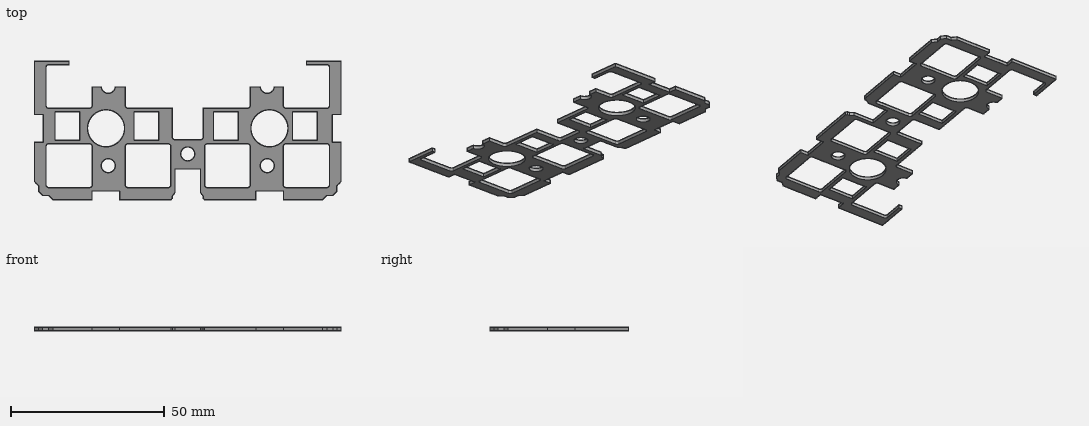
import cadquery as cq

length = 100.0
width = 45.25
thickness = 1.2
half_length = length / 2
half_width = width / 2

top_edge = half_width
bottom_edge = -half_width
rib = 1.2
opening_height = 14.25
opening_bottom = bottom_edge + 4.0
opening_top = opening_bottom + opening_height
window_height = 9.25
window_bottom = opening_top + rib
window_top = window_bottom + window_height
body_top = window_top + rib
tab_top = body_top + 6.9

inner_opening_left = 5.55
inner_opening_right = 20.35
outer_opening_left = 31.2
outer_opening_right = 46.2
body_inner_edge = 5.0
bridge_slot_half_width = 4.1
arm_end = 38.7

notch_length = 9.0
side_notch_depth = 2.85
side_notch_top = 5.15
bottom_notch_right = outer_opening_left
bottom_notch_depth = 2.8

bridge_top = -3.0
bridge_bottom = -12.6

corner_chamfer = 1.35
corner_side_step = 1.85
corner_bottom_step = 1.95

inner_step_rise = 1.3
inner_wall_length = 0.65
inner_chamfer = 0.5

inside_radius = 0.85

screw_diameter = 4.5
screw_x = 25.93
screw_y = -11.5
tab_notch_rise = 0.2
tab_notch_y = tab_top + tab_notch_rise
bridge_hole_y = -7.65
large_diameter = 12.0
large_x = 26.65
large_y = 0.7

window_length = 8.0
window_shift = -0.53
inner_opening_x = (inner_opening_left + inner_opening_right) / 2
outer_opening_x = (outer_opening_left + outer_opening_right) / 2


def box(left, right, bottom, top):
    """Full-thickness block between the given X and Y limits."""
    return (
        cq.Workplane("XY")
        .center((left + right) / 2, (bottom + top) / 2)
        .rect(right - left, top - bottom)
        .extrude(thickness)
    )


def cylinder(x, y, diameter):
    """Full-thickness cylinder centred at x, y."""
    return cq.Workplane("XY").center(x, y).circle(diameter / 2).extrude(thickness)


def rounded_opening(left, right):
    """Cutter for a lower opening with rounded corners."""
    return box(left, right, opening_bottom, opening_top).edges("|Z").fillet(inside_radius)


def right_blank():
    """Right half of the plate, before its openings, edge notches and round holes."""
    step_x = half_length - corner_chamfer
    step_y = bottom_edge + corner_chamfer
    shelf_x = step_x - corner_chamfer
    side_y = step_y + corner_chamfer + corner_side_step
    bottom_x = shelf_x - corner_bottom_step - corner_chamfer
    inner_wall_bottom = bottom_edge + inner_chamfer
    inner_wall_top = inner_wall_bottom + inner_wall_length
    points = [
        (0, bridge_top),
        (body_inner_edge, bridge_top),
        (body_inner_edge, body_top),
        (inner_opening_right, body_top),
        (inner_opening_right, tab_top),
        (outer_opening_left, tab_top),
        (outer_opening_left, body_top),
        (outer_opening_right, body_top),
        (outer_opening_right, top_edge - rib),
        (arm_end, top_edge - rib),
        (arm_end, top_edge),
        (half_length, top_edge),
        (half_length, side_y + corner_chamfer),
        (step_x, side_y),
        (step_x, step_y + corner_chamfer),
        (shelf_x, step_y),
        (shelf_x - corner_bottom_step, step_y),
        (bottom_x, bottom_edge),
        (body_inner_edge + inner_chamfer, bottom_edge),
        (body_inner_edge, inner_wall_bottom),
        (body_inner_edge, inner_wall_top),
        (bridge_slot_half_width, inner_wall_top + inner_step_rise),
        (bridge_slot_half_width, bridge_bottom),
        (0, bridge_bottom),
    ]
    return cq.Workplane("XY").polyline(points).close().extrude(thickness)


def round_corners(body, corners, radius):
    """Fillet the upright edges standing at the listed X, Y corners."""
    reach = 0.1
    for x, y in corners:
        selector = cq.selectors.BoxSelector(
            (x - reach, y - reach, -reach), (x + reach, y + reach, thickness + reach)
        )
        body = body.edges("|Z").edges(selector).fillet(radius)
    return body


def right_half():
    """Right half with its openings, notches and round holes."""
    body = right_blank()
    inside_corners = [
        (body_inner_edge, bridge_top),
        (inner_opening_right, body_top),
        (outer_opening_left, body_top),
        (outer_opening_right, body_top),
        (outer_opening_right, top_edge - rib),
    ]
    body = round_corners(body, inside_corners, inside_radius)

    body = body.cut(rounded_opening(inner_opening_left, inner_opening_right))
    body = body.cut(rounded_opening(outer_opening_left, outer_opening_right))

    side_notch_left = half_length - side_notch_depth
    body = body.cut(box(side_notch_left, half_length, side_notch_top - notch_length, side_notch_top))
    bottom_notch_left = bottom_notch_right - notch_length
    bottom_notch_top = bottom_edge + bottom_notch_depth
    body = body.cut(box(bottom_notch_left, bottom_notch_right, bottom_edge, bottom_notch_top))

    body = body.cut(cylinder(screw_x, screw_y, screw_diameter))
    body = body.cut(cylinder(screw_x, tab_notch_y, screw_diameter))
    return body.cut(cylinder(large_x, large_y, large_diameter))


def cut_windows(body):
    """Cut the four rectangular windows above the openings."""
    for opening_x in (-outer_opening_x, -inner_opening_x, inner_opening_x, outer_opening_x):
        left = opening_x + window_shift - window_length / 2
        body = body.cut(box(left, left + window_length, window_bottom, window_top))
    return body


half = right_half()
plate = half.union(half.mirror("YZ"))
plate = cut_windows(plate)
plate = plate.cut(cylinder(0, bridge_hole_y, screw_diameter))
result = plate.translate((0, 0, -thickness / 2))